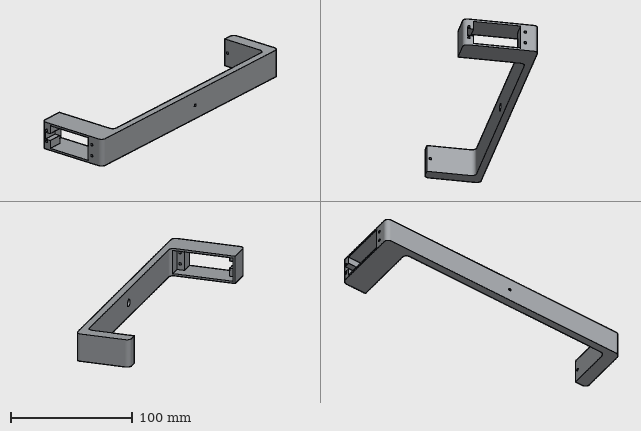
import cadquery as cq

width = 63.0
length = 235.98
height = 24.2

beam_thickness = 6.3
beam_inner_x = width - beam_thickness

idler_arm_left_x = 15.7
idler_arm_thickness = 11.3
idler_arm_inner_y = length - idler_arm_thickness
servo_arm_depth = 23.0

outer_radius = 4.0
inner_radius = 4.0

pocket_left_x = 8.5
pocket_length = 39.6
pocket_height = 20.4
notch_depth = 5.0
notch_height = 6.2

flange_plate_thickness = 12.8
flange_overhang = 6.5

servo_hole_diameter = 2.0
servo_hole_overhang = 3.9
servo_hole_spacing_z = 9.9

pivot_hole_diameter = 2.0
pivot_hole_depth = 8.0
pivot_hole_x = 18.5

beam_hole_diameter = 2.15
beam_hole_y = length - 111.4
counterbore_diameter = 6.0
counterbore_depth = 2.0

mid_z = height / 2


def make_body():
    """C-shaped profile extruded upward, with its vertical edges rounded."""
    profile = [
        (0, 0),
        (width, 0),
        (width, length),
        (idler_arm_left_x, length),
        (idler_arm_left_x, idler_arm_inner_y),
        (beam_inner_x, idler_arm_inner_y),
        (beam_inner_x, servo_arm_depth),
        (0, servo_arm_depth),
    ]
    outer_corners = profile[:4]
    inner_corners = profile[5:7]
    body = cq.Workplane("XY").polyline(profile).close().extrude(height)
    for corners, radius in ((outer_corners, outer_radius), (inner_corners, inner_radius)):
        for x, y in corners:
            edge = cq.selectors.NearestToPointSelector((x, y, mid_z))
            body = body.edges("|Z").edges(edge).fillet(radius)
    return body


def box_along_y(left_x, size_x, size_z, start_y, end_y):
    """Box centred on mid-height that runs along Y from start_y to end_y."""
    box = cq.Workplane("XY").box(size_x, end_y - start_y, size_z, centered=(False, False, True))
    return box.translate((left_x, start_y, mid_z))


def hole_along_y(x, z, start_y, depth, diameter):
    """Cylinder that starts at start_y and runs toward +Y."""
    return cq.Workplane(cq.Solid.makeCylinder(
        diameter / 2, depth, cq.Vector(x, start_y, z), cq.Vector(0, 1, 0)))


def hole_along_x(depth, diameter):
    """Cylinder that starts at the inner beam face and runs toward +X."""
    start = cq.Vector(beam_inner_x, beam_hole_y, mid_z)
    return cq.Workplane(cq.Solid.makeCylinder(diameter / 2, depth, start, cq.Vector(1, 0, 0)))


def cut_servo_seat(body):
    """Servo opening, flange recess, cable notch and the four mounting holes."""
    body = body.cut(box_along_y(pocket_left_x, pocket_length, pocket_height, 0, servo_arm_depth))
    notch_left_x = pocket_left_x - notch_depth
    body = body.cut(box_along_y(notch_left_x, notch_depth, notch_height, 0, servo_arm_depth))
    recess_left_x = pocket_left_x - flange_overhang
    recess_length = pocket_length + 2 * flange_overhang
    recess_end_y = servo_arm_depth + inner_radius
    body = body.cut(box_along_y(
        recess_left_x, recess_length, pocket_height, flange_plate_thickness, recess_end_y))
    left_hole_x = pocket_left_x - servo_hole_overhang
    right_hole_x = pocket_left_x + pocket_length + servo_hole_overhang
    for x in (left_hole_x, right_hole_x):
        for side in (-1, 1):
            z = mid_z + side * servo_hole_spacing_z / 2
            body = body.cut(hole_along_y(x, z, 0, servo_arm_depth, servo_hole_diameter))
    return body


def cut_pivot_hole(body):
    """Blind pivot hole near the free end of the idler arm."""
    return body.cut(hole_along_y(
        pivot_hole_x, mid_z, idler_arm_inner_y, pivot_hole_depth, pivot_hole_diameter))


def cut_beam_hole(body):
    """Through hole in the beam, counterbored from the inner face."""
    body = body.cut(hole_along_x(beam_thickness, beam_hole_diameter))
    return body.cut(hole_along_x(counterbore_depth, counterbore_diameter))


result = cut_beam_hole(cut_pivot_hole(cut_servo_seat(make_body())))